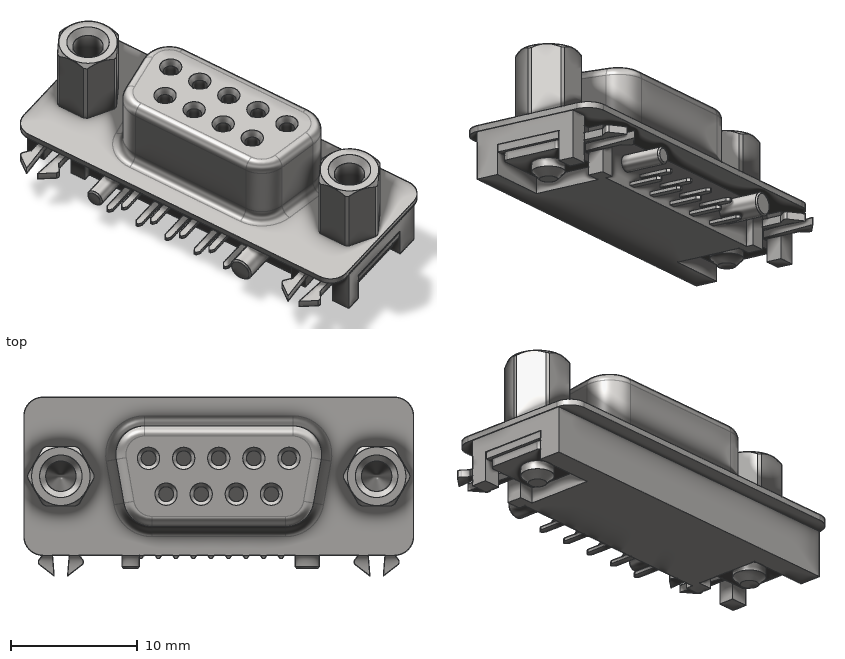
import cadquery as cq
import math


flange_length = 30.8
flange_width = 12.5
flange_thickness = 0.5
flange_corner_radius = 1.5

shell_height = 5.95
shell_depth = 7.95
shell_corner_radius = 2.25
shell_wide_corner_x = 5.9
shell_side_angle = 10.0
shell_blend_radius = 0.8

contact_pitch = 2.77
contact_row_y = 1.42
contact_hole_diameter = 1.17
contact_hole_depth = 3.08
contact_mouth_diameter = 1.75
contact_mouth_angle = 60.0

screw_x = 12.48
hex_across_flats = 4.68
hex_corner_diameter = 5.25
hex_top_diameter = 4.62
screw_hole_diameter = 2.4
screw_hole_depth = 4.93
screw_mouth_diameter = 3.35
drill_tip_angle = 90.0

shank_diameter = 2.65
shank_tip_diameter = 1.45
shank_taper_z = -3.97
shank_tip_z = -4.6

housing_length = 30.7
housing_front_y = -4.3
housing_back_y = 4.87
housing_bottom_z = -4.47
end_block_inner_x = 9.85
centre_setback = 0.62
front_slot_width = 2.6

cavity_front_y = -2.95
cavity_back_y = 2.93
cavity_top_z = -1.95
lip_width = 1.3
lip_thickness = 0.22
lip_bottom_z = -2.95

lock_thickness = 0.62
lock_clearance = 0.05
lock_tip_y = -7.9
leg_root_inner_x = 0.92
leg_root_outer_x = 1.3
leg_tip_x = 0.52
barb_start_y = -6.05
barb_crest = (1.8, -6.78)
barb_crest_inset = 0.05
barb_crest_half_length = 0.2
nut_length = 5.05
nut_front_y = -2.75
nut_back_y = 2.65
nut_bottom_z = -3.27
nut_corner_radius = 0.4

pegs = [(-6.95, 1.4), (7.0, 1.9)]
peg_z = -2.43
peg_end_y = -7.27
peg_chamfer = 0.12

pin_count = 9
pin_pitch = contact_pitch / 2
pin_offset_x = -0.62
pin_width = 0.55
pin_tip_width = 0.2
pin_thickness = 0.28
pin_taper_length = 0.28
pin_end_y = -6.5
pin_lower_row_z = -3.97
pin_upper_row_z = -2.93

overlap = 0.15


def block(x_range, y_range, z_range):
    """Box between the given limits on each axis."""
    size = [high - low for low, high in (x_range, y_range, z_range)]
    corner = (x_range[0], y_range[0], z_range[0])
    return cq.Workplane("XY").box(*size, centered=False).translate(corner)


def with_mirror_image(piece):
    """The piece together with its mirror image on the other side of X = 0."""
    return piece.union(piece.mirror("YZ"))


def make_flange():
    return (
        cq.Workplane("XY")
        .rect(flange_length, flange_width)
        .extrude(-flange_thickness)
        .edges("|Z")
        .fillet(flange_corner_radius)
    )


def shell_half_width(y):
    """Half width at y of the sharp-cornered D outline."""
    angle = math.radians(shell_side_angle)
    corner_centre_y = shell_depth / 2 - shell_corner_radius
    side_at_corner = shell_wide_corner_x + shell_corner_radius / math.cos(angle)
    return side_at_corner + (y - corner_centre_y) * math.tan(angle)


def add_shell(flange):
    back = shell_depth / 2
    wide = shell_half_width(back)
    narrow = shell_half_width(-back)
    shell = (
        cq.Workplane("XY")
        .polyline([(-wide, back), (wide, back), (narrow, -back), (-narrow, -back)])
        .close()
        .extrude(shell_height)
        .edges("|Z")
        .fillet(shell_corner_radius)
        .faces(">Z")
        .edges()
        .fillet(shell_blend_radius)
    )
    root_edges = cq.selectors.BoxSelector(
        (-wide, -back - overlap, -overlap), (wide, back + overlap, overlap)
    )
    return flange.union(shell).edges(root_edges).fillet(shell_blend_radius)


def contact_positions():
    """Five sockets in the +Y row and four in the -Y row."""
    positions = []
    for count, y in ((5, contact_row_y), (4, -contact_row_y)):
        for i in range(count):
            positions.append(((i - (count - 1) / 2) * contact_pitch, y))
    return positions


def cut_contacts(body):
    return (
        body.faces(">Z")
        .workplane(origin=(0, 0, shell_height))
        .pushPoints(contact_positions())
        .cskHole(contact_hole_diameter, contact_mouth_diameter, contact_mouth_angle, contact_hole_depth)
    )


def turn(profile):
    """Solid of revolution about Z from a closed (radius, z) profile."""
    return cq.Workplane("XZ").polyline(profile).close().revolve(360, (0, 0), (0, 1))


def make_hex_post():
    """Hexagonal post with turned corners and a chamfered top."""
    corner_radius = hex_corner_diameter / 2
    top_radius = hex_top_diameter / 2
    shoulder_z = shell_height - (corner_radius - top_radius)
    across_corners = hex_across_flats / math.cos(math.pi / 6)
    hexagon = cq.Workplane("XY").polygon(6, across_corners).extrude(shell_height)
    turned_envelope = turn([
        (0, 0),
        (corner_radius, 0),
        (corner_radius, shoulder_z),
        (top_radius, shell_height),
        (0, shell_height),
    ])
    return hexagon.intersect(turned_envelope)


def make_screw_hole():
    """Drilled hole with a conical floor and a 45-degree mouth."""
    hole_radius = screw_hole_diameter / 2
    mouth_radius = screw_mouth_diameter / 2
    hole_floor_z = shell_height - screw_hole_depth
    tip_depth = hole_radius / math.tan(math.radians(drill_tip_angle / 2))
    return turn([
        (0, hole_floor_z - tip_depth),
        (hole_radius, hole_floor_z),
        (hole_radius, shell_height - (mouth_radius - hole_radius)),
        (mouth_radius, shell_height),
        (0, shell_height),
    ])


def make_shank():
    """Turned end of the jack screw that shows under the nut."""
    radius = shank_diameter / 2
    return turn([
        (0, nut_bottom_z + overlap),
        (radius, nut_bottom_z + overlap),
        (radius, shank_taper_z),
        (shank_tip_diameter / 2, shank_tip_z),
        (0, shank_tip_z),
    ]).translate((-screw_x, 0, 0))


def make_housing():
    end_x = housing_length / 2
    full_height = (housing_bottom_z, -flange_thickness)
    housing = block((-end_x, end_x), (housing_front_y, housing_back_y), full_height)
    setback = block(
        (-end_block_inner_x, end_block_inner_x),
        (housing_front_y, housing_front_y + centre_setback),
        full_height,
    )
    front_slot = block(
        (-screw_x - front_slot_width / 2, -screw_x + front_slot_width / 2),
        (housing_front_y, cavity_front_y),
        full_height,
    )
    cavity = block(
        (-end_x, -end_block_inner_x),
        (cavity_front_y, cavity_back_y),
        (housing_bottom_z, cavity_top_z),
    )
    lip = block(
        (-screw_x - lip_width / 2, -screw_x + lip_width / 2),
        (cavity_front_y, cavity_front_y + lip_thickness),
        (lip_bottom_z, cavity_top_z),
    )
    end_recess = front_slot.union(cavity).cut(lip)
    return housing.cut(setback).cut(with_mirror_image(end_recess))


def make_lock_leg():
    """Barbed spring leg on the +X side of a screw, drawn about the screw axis."""
    root_y = cavity_front_y + overlap
    crest_x, crest_y = barb_crest
    crest_end_x = crest_x - barb_crest_inset
    return (
        cq.Workplane("XY")
        .workplane(offset=cavity_top_z - lock_thickness)
        .moveTo(leg_root_outer_x, root_y)
        .lineTo(leg_root_outer_x, barb_start_y)
        .lineTo(crest_end_x, crest_y + barb_crest_half_length)
        .threePointArc(barb_crest, (crest_end_x, crest_y - barb_crest_half_length))
        .lineTo(leg_tip_x, lock_tip_y)
        .lineTo(leg_root_inner_x, root_y)
        .close()
        .extrude(lock_thickness)
    )


def make_board_lock():
    """Sheet in the cavity roof with two legs reaching past the flange."""
    sheet = block(
        (lock_clearance - housing_length / 2, -end_block_inner_x),
        (cavity_front_y + lock_clearance, cavity_back_y),
        (cavity_top_z - lock_thickness, cavity_top_z),
    )
    legs = with_mirror_image(make_lock_leg()).translate((-screw_x, 0, 0))
    return sheet.union(legs)


def make_nut():
    return block(
        (-screw_x - nut_length / 2, -screw_x + nut_length / 2),
        (nut_front_y, nut_back_y),
        (nut_bottom_z, cavity_top_z - lock_thickness + overlap),
    ).edges("|Z").fillet(nut_corner_radius)


def make_peg(x, diameter):
    root_y = housing_front_y + centre_setback + overlap
    return (
        cq.Workplane("XZ", origin=(x, root_y, peg_z))
        .circle(diameter / 2)
        .extrude(root_y - peg_end_y)
        .faces("<Y")
        .chamfer(peg_chamfer)
    )


def make_pin(x, z):
    """Flat board pin with a tapered end."""
    root_y = housing_front_y + centre_setback + overlap
    taper_y = pin_end_y + pin_taper_length
    return (
        cq.Workplane("XY", origin=(x, 0, z))
        .polyline([
            (-pin_width / 2, root_y),
            (-pin_width / 2, taper_y),
            (-pin_tip_width / 2, pin_end_y),
            (pin_tip_width / 2, pin_end_y),
            (pin_width / 2, taper_y),
            (pin_width / 2, root_y),
        ])
        .close()
        .extrude(pin_thickness / 2, both=True)
    )


result = cut_contacts(add_shell(make_flange()))
result = result.union(make_housing())

hex_post = make_hex_post()
screw_hole = make_screw_hole()
for x in (-screw_x, screw_x):
    result = result.union(hex_post.translate((x, 0, 0)))
    result = result.cut(screw_hole.translate((x, 0, 0)))

for left_piece in (make_board_lock(), make_nut(), make_shank()):
    result = result.union(with_mirror_image(left_piece))

for x, diameter in pegs:
    result = result.union(make_peg(x, diameter))

for i in range(pin_count):
    pin_x = pin_offset_x + (i - (pin_count - 1) / 2) * pin_pitch
    row_z = pin_lower_row_z if i % 2 == 0 else pin_upper_row_z
    result = result.union(make_pin(pin_x, row_z))